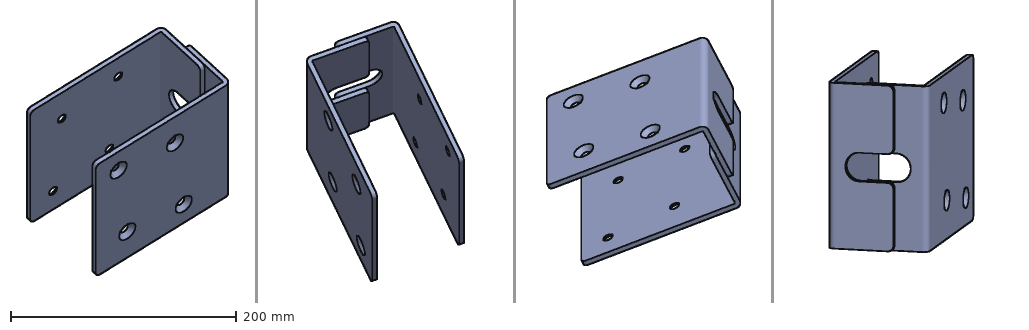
import cadquery as cq

overall_width = 90.7
overall_depth = 160.0
height = 150.0

thickness = 5.0
inner_bend_radius = 1.0
outer_bend_radius = inner_bend_radius + thickness
side_length = overall_depth - thickness
back_length = 60.0
corner_radius = 5.0

notch_width = 26.0
notch_radius = notch_width / 2
notch_end_offset = 16.0

hole_diameter = 8.8
countersink_diameter = 18.7
hole_pitch = 64.8
hole_stagger = 10.0
hole_front_offset = 26.0
hole_edge_offset = 25.0


def bent_sheet():
    """L-shaped sheet: side plate at X = 0, back plate ending at Y = side_length."""
    inner_y = side_length - thickness
    sheet = (
        cq.Workplane("XY")
        .polyline([
            (0, 0),
            (thickness, 0),
            (thickness, inner_y),
            (back_length, inner_y),
            (back_length, side_length),
            (0, side_length),
        ])
        .close()
        .extrude(height / 2, both=True)
    )
    sheet = sheet.faces("<Y").edges("|X").fillet(corner_radius)
    sheet = sheet.faces(">X").edges("|Y").fillet(corner_radius)
    sheet = sheet.edges(cq.selectors.NearestToPointSelector((thickness, inner_y, 0)))
    sheet = sheet.fillet(inner_bend_radius)
    sheet = sheet.edges(cq.selectors.NearestToPointSelector((0, side_length, 0)))
    return sheet.fillet(outer_bend_radius)


def notch_cutter():
    """Notch with one round end, open at the free edge of the back plate."""
    arc_center_x = notch_end_offset + notch_radius
    return (
        cq.Workplane("XZ", origin=(0, side_length, 0))
        .moveTo(back_length, -notch_radius)
        .lineTo(arc_center_x, -notch_radius)
        .threePointArc((notch_end_offset, 0), (arc_center_x, notch_radius))
        .lineTo(back_length, notch_radius)
        .close()
        .extrude(thickness)
    )


def hole_positions():
    """Y, Z centers of the screw holes: the pattern leans along both directions."""
    bottom_z = -height / 2 + hole_edge_offset
    top_z = height / 2 - hole_edge_offset
    lower_front = (hole_front_offset, bottom_z)
    lower_rear = (hole_front_offset + hole_pitch, bottom_z + hole_stagger)
    upper_front = (hole_front_offset + hole_stagger, top_z - hole_stagger)
    upper_rear = (hole_front_offset + hole_stagger + hole_pitch, top_z)
    return [lower_front, lower_rear, upper_front, upper_rear]


def countersunk_hole(y, z):
    """Cone through the full sheet, wide at the outer face."""
    return cq.Workplane(cq.Solid.makeCone(
        countersink_diameter / 2,
        hole_diameter / 2,
        thickness,
        pnt=cq.Vector(0, y, z),
        dir=cq.Vector(1, 0, 0),
    ))


def make_bracket():
    bracket = bent_sheet().cut(notch_cutter())
    for z in (-notch_radius, notch_radius):
        mouth_corner = (back_length, side_length - thickness / 2, z)
        bracket = bracket.edges(cq.selectors.NearestToPointSelector(mouth_corner)).fillet(corner_radius)
    for y, z in hole_positions():
        bracket = bracket.cut(countersunk_hole(y, z))
    return bracket


brackets = []
for turn, side, shift in ((0, -1, 0), (180, 1, thickness)):
    bracket = make_bracket().rotate((0, 0, 0), (0, 1, 0), turn)
    brackets.append(bracket.translate((side * overall_width / 2, shift, 0)).val())

result = cq.Compound.makeCompound(brackets)